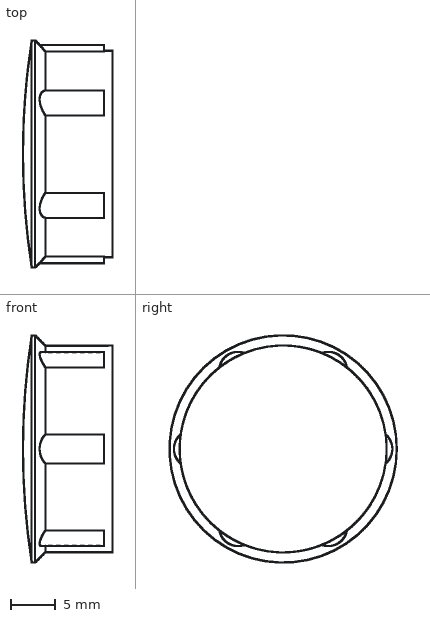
import cadquery as cq

length = 10.0
rim_radius = 12.67
barrel_radius = 11.53
dome_height = 1.0
rim_width = 0.38
rib_count = 6
rib_radius = 2.1
rib_reach = 12.16
rib_end_gap = 0.96

rim_end = dome_height + rim_width
cone_end = rim_end + rim_radius - barrel_radius
rib_end = length - rib_end_gap

dome_radius = (rim_radius**2 + dome_height**2) / (2 * dome_height)
dome_mid_radius = rim_radius / 2
dome_mid_x = dome_radius - (dome_radius**2 - dome_mid_radius**2) ** 0.5


def make_cap():
    """Domed head with a thin rim, conical underside and barrel."""
    return (
        cq.Workplane("XY")
        .moveTo(0, 0)
        .threePointArc((dome_mid_x, dome_mid_radius), (dome_height, rim_radius))
        .lineTo(rim_end, rim_radius)
        .lineTo(cone_end, barrel_radius)
        .lineTo(length, barrel_radius)
        .lineTo(length, 0)
        .close()
        .revolve(360, (0, 0, 0), (1, 0, 0))
    )


def make_ribs():
    """Round ribs along the barrel, starting inside the head."""
    return (
        cq.Workplane("YZ", origin=(rim_end, 0, 0))
        .polarArray(rib_reach - rib_radius, 0, 360, rib_count)
        .circle(rib_radius)
        .extrude(rib_end - rim_end)
    )


result = make_cap().union(make_ribs())